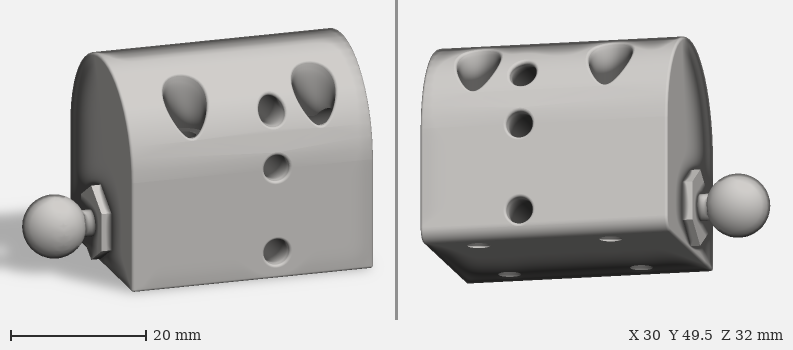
import cadquery as cq
import math

width = 30.0
length = 37.5
height = 32.0
top_radius = width / 2
top_axis_z = height - top_radius
base_fillet = 2.0
edge_fillet = 0.4

screw_spacing = 20.0
screw_hole_diameter = 3.4
counterbore_diameter = 6.5
counterbore_floor_z = 22.0
rear_screw_inset = 7.75
rear_screw_y = length - rear_screw_inset
front_screw_y = rear_screw_y - screw_spacing

cross_hole_diameter = 4.0
cross_hole_inset = 15.0
cross_hole_y = length - cross_hole_inset
cross_hole_heights = [4.0, top_axis_z, 25.0]

rear_hole_diameter = 4.0
rear_hole_depth = 9.0
rear_hole_x = 9.0
rear_hole_z = 21.45
drill_point_angle = 118.0

stud_z = 6.35
hex_across_flats = 10.0
hex_corner_diameter = hex_across_flats / math.cos(math.pi / 6)
hex_thickness = 1.5
hex_turn = 30.0
neck_diameter = 4.0
ball_diameter = 9.5
ball_reach = 12.0
ball_center_y = ball_diameter / 2 - ball_reach


def make_blank():
    """Arched block with rounded outer edges."""
    blank = (
        cq.Workplane("XZ")
        .moveTo(-width / 2, 0)
        .lineTo(width / 2, 0)
        .lineTo(width / 2, top_axis_z)
        .threePointArc((0, height), (-width / 2, top_axis_z))
        .close()
        .extrude(-length)
    )
    blank = blank.edges("|Y and <X and <Z").fillet(base_fillet)
    return blank.edges("<Y or >Y or (|Y and >X and <Z)").fillet(edge_fillet)


def edges_in_box(body, low, high):
    """Edges lying wholly inside the box between two corner points."""
    return body.edges(cq.selectors.BoxSelector(low, high, boundingbox=True))


def cut_screw_hole(body, x, y):
    """Through hole with a deep counterbore, its mouth rounded on the curved top."""
    hole = cq.Workplane("XY").center(x, y).circle(screw_hole_diameter / 2).extrude(height)
    counterbore = (
        cq.Workplane("XY", origin=(x, y, counterbore_floor_z))
        .circle(counterbore_diameter / 2)
        .extrude(height - counterbore_floor_z)
    )
    body = body.cut(hole).cut(counterbore)
    reach = counterbore_diameter / 2 + edge_fillet
    mouth = edges_in_box(
        body,
        (x - reach, y - reach, counterbore_floor_z + edge_fillet),
        (x + reach, y + reach, height),
    )
    return mouth.fillet(edge_fillet)


def cut_cross_hole(body, z):
    """Hole along X from side to side, both mouths rounded."""
    hole = (
        cq.Workplane("YZ", origin=(-width / 2, cross_hole_y, z))
        .circle(cross_hole_diameter / 2)
        .extrude(width)
    )
    body = body.cut(hole)
    reach = cross_hole_diameter / 2 + edge_fillet / 2
    rims = edges_in_box(
        body,
        (-width, cross_hole_y - reach, z - reach),
        (width, cross_hole_y + reach, z + reach),
    )
    return rims.edges("not |X").fillet(edge_fillet)


def cut_rear_hole(body, x):
    """Blind hole along Y with a conical drill point."""
    radius = rear_hole_diameter / 2
    point_length = radius / math.tan(math.radians(drill_point_angle / 2))
    shoulder_y = length - rear_hole_depth
    drill = (
        cq.Workplane("XY", origin=(x, 0, rear_hole_z))
        .moveTo(0, length)
        .lineTo(radius, length)
        .lineTo(radius, shoulder_y)
        .lineTo(0, shoulder_y - point_length)
        .close()
        .revolve(360, (0, 0, 0), (0, 1, 0))
    )
    return body.cut(drill)


def make_housing():
    """Arched block with all of its holes."""
    body = make_blank()
    for x in (-screw_spacing / 2, screw_spacing / 2):
        for y in (front_screw_y, rear_screw_y):
            body = cut_screw_hole(body, x, y)
    for z in cross_hole_heights:
        body = cut_cross_hole(body, z)
    for x in (-rear_hole_x, rear_hole_x):
        body = cut_rear_hole(body, x)
    return body


def make_ball_stud():
    """Hexagonal base, round neck and ball on one axis along Y."""
    base_plane = cq.Workplane("XZ", origin=(0, 0, stud_z))
    hexagon = (
        base_plane.polygon(6, hex_corner_diameter)
        .extrude(hex_thickness)
        .rotate((0, 0, stud_z), (0, 1, stud_z), hex_turn)
    )
    neck = base_plane.circle(neck_diameter / 2).extrude(-ball_center_y)
    ball = cq.Workplane("XY", origin=(0, ball_center_y, stud_z)).sphere(ball_diameter / 2)
    return hexagon.union(neck).union(ball)


housing = make_housing()
ball_stud = make_ball_stud()

result = cq.Compound.makeCompound([housing.solids().val(), ball_stud.solids().val()])